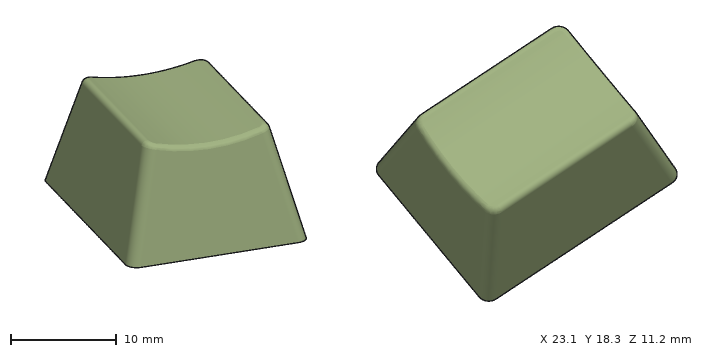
import cadquery as cq

base_length = 23.05
base_width = 18.3
wall_draft = 14.0
corner_radius = 1.2
blank_height = 13.84

dish_bottom = 10.4
dish_radius = 20.75
rim_radius = 0.6


def tapered_blank():
    """Block with walls leaning inward and rounded sloping corners."""
    block = cq.Workplane("XY").rect(base_length, base_width).extrude(blank_height, taper=wall_draft)
    sloping_corners = block.edges("not(|X or |Y)")
    return sloping_corners.fillet(corner_radius)


def dish_cutter():
    """Cylinder along X whose lowest line is the bottom of the dish."""
    return (
        cq.Workplane("YZ")
        .center(0, dish_bottom + dish_radius)
        .circle(dish_radius)
        .extrude(base_length / 2, both=True)
    )


dished_cap = tapered_blank().cut(dish_cutter())

dish_rim = dished_cap.faces(">Z").edges()
result = dish_rim.fillet(rim_radius)